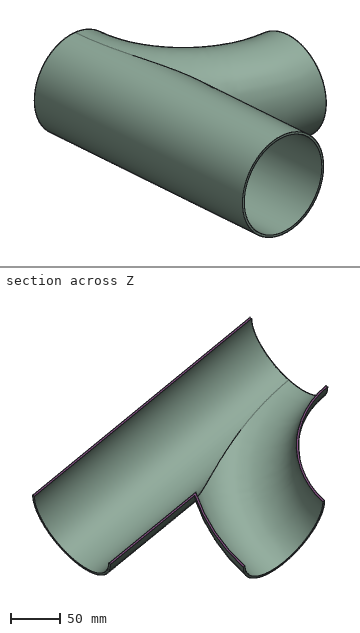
import cadquery as cq

run_length = 305.0
outer_diameter = 114.5
bore_diameter = 109.2
bend_radius = 152.5
bend_angle = 90.0

zone_margin = 30.5
zone_top = bend_radius + zone_margin
zone_half_width = 2 * (bend_radius * zone_top) ** 0.5
zone_height = outer_diameter + 2 * zone_margin


def pipe_section():
    """Ring section at the shared open end, with the run axis along X."""
    return cq.Workplane("YZ").circle(outer_diameter / 2).circle(bore_diameter / 2)


def elbow_zone():
    """Prism bounded below by the parabolic sheet and above by a flat top."""
    left = (-zone_half_width, zone_top)
    control = (0, -zone_top)
    right = (zone_half_width, zone_top)
    return (
        cq.Workplane("XY")
        .moveTo(*left)
        .bezier([left, control, right])
        .close()
        .extrude(zone_height / 2, both=True)
    )


run = pipe_section().extrude(run_length).cut(elbow_zone())

bend_axis_start = (bend_radius, 0)
bend_axis_end = (bend_radius, 1)
elbow = (
    pipe_section()
    .revolve(bend_angle, bend_axis_start, bend_axis_end)
    .intersect(elbow_zone())
)

result = run.union(elbow)